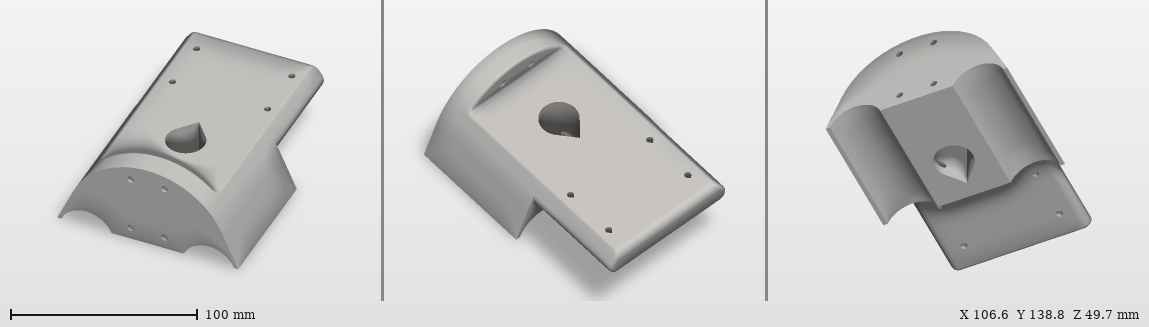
import cadquery as cq
import math

LENGTH = 138.8
HEIGHT = 49.7
BASE_WIDTH = 106.6
DOME_RADIUS = 48.0
BLOCK_LENGTH = 75.5

PLATE_BOTTOM = 20.3
PLATE_TOP = 35.0
HEAD_LENGTH = 14.7
LARGE_FILLET = 5.0
SMALL_FILLET = 2.0

SCALLOP_RADIUS = 16.0
SCALLOP_DEPTH = 9.9
SCALLOP_X = 36.1

FRONT_HOLE_DIAMETER = 4.0
FRONT_HOLE_X = 10.0
FRONT_HOLE_LEVELS = (7.2, 40.4)

CABLE_HOLE_RADIUS = 11.1
CABLE_HOLE_TIP = 17.2
CABLE_HOLE_Y = 49.0
PLATE_HOLE_RADIUS = 2.0
PLATE_HOLE_TIP = 2.6
PLATE_HOLE_X = 28.0
PLATE_HOLE_SHIFT = 0.7
PLATE_HOLE_ROWS = (91.6, 122.7)


def domed_body():
    """Round top with straight flanks tangent to it, down to a flat base."""
    centre_z = HEIGHT - DOME_RADIUS
    half_base = BASE_WIDTH / 2
    corner_distance = math.hypot(half_base, centre_z)
    tangent_angle = math.acos(DOME_RADIUS / corner_distance) - math.atan2(centre_z, half_base)
    tangent_x = DOME_RADIUS * math.cos(tangent_angle)
    tangent_z = centre_z + DOME_RADIUS * math.sin(tangent_angle)
    return (
        cq.Workplane("XZ")
        .moveTo(-half_base, 0)
        .lineTo(-tangent_x, tangent_z)
        .threePointArc((0, HEIGHT), (tangent_x, tangent_z))
        .lineTo(half_base, 0)
        .close()
        .extrude(-LENGTH)
    )


def box_between(y_start, y_end, z_start, z_end):
    """Box spanning the whole width of the part."""
    return cq.Workplane("XY").box(
        BASE_WIDTH, y_end - y_start, z_end - z_start, centered=(True, False, False)
    ).translate((0, y_start, z_start))


def teardrop(radius, tip, x, y):
    """Through cutter: a round with two tangent lines meeting at a tip."""
    tangent_y = radius**2 / tip
    tangent_x = math.sqrt(radius**2 - tangent_y**2)
    return (
        cq.Workplane("XY")
        .moveTo(-tangent_x, tangent_y)
        .threePointArc((0, -radius), (tangent_x, tangent_y))
        .lineTo(0, tip)
        .close()
        .extrude(HEIGHT)
        .translate((x, y, 0))
    )


def front_block(body):
    """Front portion with the head wall's stepped rim and inside corner rounded."""
    block = body.intersect(box_between(0, BLOCK_LENGTH, 0, HEIGHT))
    floor_corner = cq.selectors.NearestToPointSelector((0, HEAD_LENGTH, PLATE_TOP))
    block = block.edges(floor_corner).fillet(SMALL_FILLET)
    plate_sides = block.faces(
        cq.selectors.NearestToPointSelector((0, BLOCK_LENGTH / 2, PLATE_TOP))
    ).edges("|Y")
    head_rim = block.faces(
        cq.selectors.NearestToPointSelector((0, HEAD_LENGTH, (PLATE_TOP + HEIGHT) / 2))
    ).edges(">Z")
    return block.newObject(plate_sides.vals() + head_rim.vals()).fillet(SMALL_FILLET)


def rear_plate(body):
    """Overhanging plate with rounded long edges and rear end."""
    plate = body.intersect(box_between(BLOCK_LENGTH, LENGTH, PLATE_BOTTOM, HEIGHT))
    plate = plate.faces("<Z").edges("|Y").fillet(LARGE_FILLET)
    plate = plate.faces(">Y").edges(">Z").fillet(LARGE_FILLET)
    end_edges = plate.faces(">Y").edges("not >Z").vals()
    top_sides = plate.faces(">Z").edges("|Y").vals()
    return plate.newObject(end_edges + top_sides).fillet(SMALL_FILLET)


def scallop(x):
    """Round channel under the block."""
    return (
        cq.Workplane("XZ")
        .center(x, SCALLOP_DEPTH - SCALLOP_RADIUS)
        .circle(SCALLOP_RADIUS)
        .extrude(-BLOCK_LENGTH)
    )


def front_holes():
    """Four round holes through the length of the block."""
    centres = [(x, z) for x in (-FRONT_HOLE_X, FRONT_HOLE_X) for z in FRONT_HOLE_LEVELS]
    return (
        cq.Workplane("XZ")
        .pushPoints(centres)
        .circle(FRONT_HOLE_DIAMETER / 2)
        .extrude(-BLOCK_LENGTH)
    )


stepped = domed_body().cut(box_between(HEAD_LENGTH, LENGTH, PLATE_TOP, HEIGHT))
result = front_block(stepped).union(rear_plate(stepped))

for side in (-1, 1):
    result = result.cut(scallop(side * SCALLOP_X))
    hole_x = PLATE_HOLE_SHIFT + side * PLATE_HOLE_X
    for row_y in PLATE_HOLE_ROWS:
        result = result.cut(teardrop(PLATE_HOLE_RADIUS, PLATE_HOLE_TIP, hole_x, row_y))

result = result.cut(teardrop(CABLE_HOLE_RADIUS, CABLE_HOLE_TIP, 0, CABLE_HOLE_Y))
result = result.cut(front_holes())